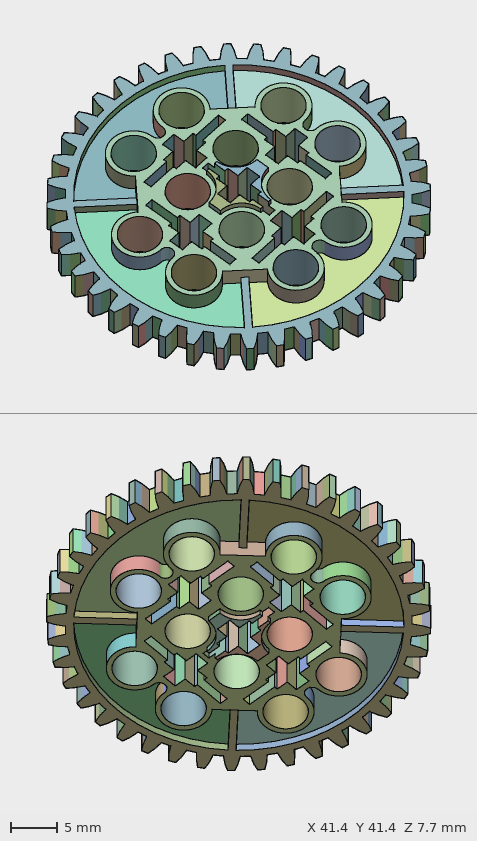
import cadquery as cq
import math

rim_height = 3.77
hub_height = 6.3
core_height = 7.7
pocket_depth = 1.0

tooth_count = 40
tip_radius = 20.7
flank_radius = 19.8
root_radius = 18.7
tip_width = 0.8
flank_width = 1.4
root_width = 1.82
pocket_radius = 17.8
rib_width = 0.85

pitch = 7.8
pin_hole_diameter = 4.9
boss_diameter = 6.15

cross_length = 4.75
cross_arm_width = 1.82
outer_slot_length = 12.1
outer_slot_width = 1.0
center_slot_length = 9.6
center_slot_width = 0.9

near = pitch / 2
far = 1.5 * pitch
inner_pins = [(x, y) for x in (-near, near) for y in (-near, near)]
outer_pins = [(x, y) for x in (-near, near) for y in (-far, far)]
outer_pins += [(y, x) for x, y in outer_pins]


def level(height):
    """Workplane on the underside of a level of the given height centred on Z = 0."""
    return cq.Workplane("XY", origin=(0, 0, -height / 2))


def disc(diameter, height, centers=((0, 0),)):
    """Cylinders of one size at every given centre."""
    return level(height).pushPoints(centers).circle(diameter / 2).extrude(height)


def plate(outline, height):
    """Flat plate with a straight-sided outline."""
    return level(height).polyline(outline).close().extrude(height)


def centered_box(length, width, height):
    """Box centred on the origin."""
    return cq.Workplane("XY").box(length, width, height)


def toothed_disc():
    """Solid gear blank whose tooth flanks have two straight facets, one tooth lying on +X."""
    half_profile = [
        (root_radius, root_width / 2),
        (flank_radius, flank_width / 2),
        (tip_radius, tip_width / 2),
    ]
    tooth = [(r, -w) for r, w in half_profile] + [(r, w) for r, w in reversed(half_profile)]
    outline = []
    for i in range(tooth_count):
        angle = 2 * math.pi * i / tooth_count
        cos_a = math.cos(angle)
        sin_a = math.sin(angle)
        outline += [(x * cos_a - y * sin_a, x * sin_a + y * cos_a) for x, y in tooth]
    return plate(outline, rim_height)


def rim_and_web():
    """Gear blank recessed on both faces, with four diagonal ribs left flush with the rim."""
    web_height = rim_height - 2 * pocket_depth
    gear = toothed_disc().cut(disc(2 * pocket_radius, rim_height))
    gear = gear.union(disc(2 * pocket_radius, web_height))
    for angle in (45, 135):
        rib = centered_box(2 * pocket_radius, rib_width, rim_height)
        gear = gear.union(rib.rotate((0, 0, 0), (0, 0, 1), angle))
    return gear


def hub():
    """Octagon through the outer pin centres, with a boss at each and a round notch between pairs."""
    octagon = [
        (near, far), (far, near), (far, -near), (near, -far),
        (-near, -far), (-far, -near), (-far, near), (-near, far),
    ]
    body = plate(octagon, hub_height)
    body = body.union(disc(boss_diameter, hub_height, outer_pins))
    notch_centers = [(far, 0), (0, far), (-far, 0), (0, -far)]
    notch_diameter = pitch - boss_diameter
    return body.cut(disc(notch_diameter, hub_height, notch_centers))


def raised_core():
    """Square block with its corners on the inner pin centres, hollowed around each of them."""
    core = centered_box(pitch, pitch, core_height)
    return core.cut(disc(boss_diameter, core_height, inner_pins))


def axle_hole(slot_length, slot_width):
    """Cross-shaped cutter with its relief slot along X."""
    cutter = centered_box(cross_length, cross_arm_width, core_height)
    cutter = cutter.union(centered_box(cross_arm_width, cross_length, core_height))
    return cutter.union(centered_box(slot_length, slot_width, core_height))


result = rim_and_web().union(hub()).union(raised_core())

result = result.cut(disc(pin_hole_diameter, core_height, inner_pins + outer_pins))

result = result.cut(axle_hole(center_slot_length, center_slot_width))
outer_axle_hole = axle_hole(outer_slot_length, outer_slot_width).translate((0, pitch, 0))
for angle in (0, 90, 180, 270):
    result = result.cut(outer_axle_hole.rotate((0, 0, 0), (0, 0, 1), angle))